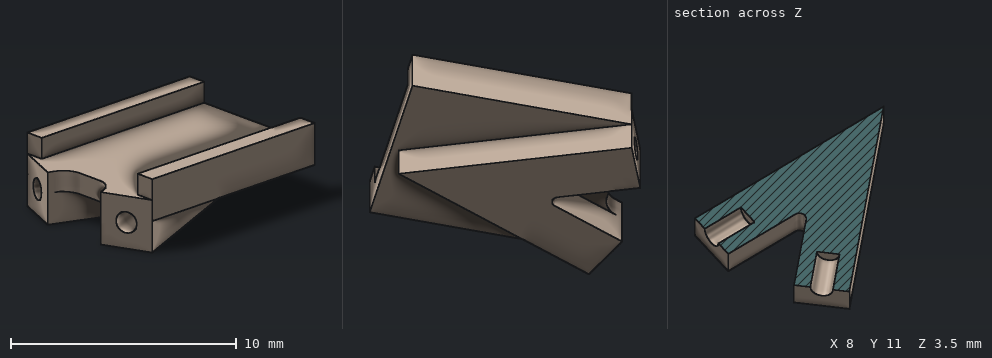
import cadquery as cq
import math

width = 8.0
total_length = 10.96
total_height = 3.5

plate_thickness = 1.0
rail_height = 1.0
rail_width = 0.93
leg_depth = total_height - plate_thickness - rail_height

leg_angle = math.radians(22.5)
leg_width = 2.5
inner_corner_radius = 0.3

notch_radius = 1.0
hole_diameter = 1.0
hole_depth = 2.0

half_width = width / 2
tip_x = half_width - leg_width * math.cos(leg_angle)
plate_front_y = leg_width * math.sin(leg_angle)
plate_length = total_length - plate_front_y
outer_apex_y = plate_front_y + half_width / math.tan(leg_angle)
inner_apex_y = tip_x / math.tan(leg_angle)
plate_top_z = leg_depth + plate_thickness
notch_half_width = tip_x - plate_front_y * math.tan(leg_angle)


def make_plate():
    """Plate with slanted front prongs and a round-cornered notch between them."""
    outline = [
        (-half_width, total_length),
        (-half_width, plate_front_y),
        (-tip_x, 0),
        (-notch_half_width, plate_front_y),
        (notch_half_width, plate_front_y),
        (tip_x, 0),
        (half_width, plate_front_y),
        (half_width, total_length),
    ]
    plate = cq.Workplane("XY").workplane(offset=leg_depth).polyline(outline).close()
    plate = plate.extrude(plate_thickness)
    notch_corners = [
        cq.NearestToPointSelector((side * notch_half_width, plate_front_y, leg_depth + plate_thickness / 2))
        for side in (-1, 1)
    ]
    return plate.edges("|Z").edges(notch_corners[0] + notch_corners[1]).fillet(notch_radius)


def make_legs():
    """V-shaped pair of legs, rounded in the inside corner."""
    outline = [
        (-half_width, plate_front_y),
        (-tip_x, 0),
        (0, inner_apex_y),
        (tip_x, 0),
        (half_width, plate_front_y),
        (0, outer_apex_y),
    ]
    legs = cq.Workplane("XY").polyline(outline).close().extrude(leg_depth)
    inner_corner = cq.NearestToPointSelector((0, inner_apex_y, leg_depth / 2))
    return legs.edges("|Z").edges(inner_corner).fillet(inner_corner_radius)


def make_rail(side):
    """Rail along one long edge of the plate."""
    center_x = side * (half_width - rail_width / 2)
    rail = cq.Workplane("XY").box(rail_width, plate_length, rail_height, centered=(True, False, False))
    return rail.translate((center_x, plate_front_y, plate_top_z))


def make_hole(side):
    """Blind hole in the middle of one slanted front face, running along its leg."""
    center = cq.Vector(side * (half_width + tip_x) / 2, plate_front_y / 2, plate_top_z / 2)
    direction = cq.Vector(-side * math.sin(leg_angle), math.cos(leg_angle), 0)
    return cq.Solid.makeCylinder(hole_diameter / 2, hole_depth, center, direction)


result = make_plate().union(make_legs())
for side in (-1, 1):
    result = result.union(make_rail(side)).cut(make_hole(side))